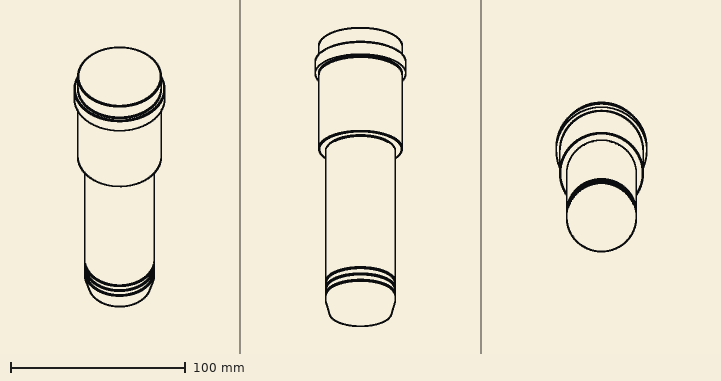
import math

import cadquery as cq

total_height = 170.0
head_radius = 24.0
collar_radius = 26.0
shaft_radius = 20.0

collar_top = total_height - 10.0
collar_bottom = total_height - 18.0
head_bottom = total_height - 66.0

taper_height = 8.0
taper_angle = 15.0
tip_radius = shaft_radius - taper_height * math.tan(math.radians(taper_angle))
tip_fillet = 0.5

head_top_chamfer = 0.5
head_bottom_chamfer = 0.5
collar_top_chamfer = 0.5

neck_depth = 0.75
neck_height = 1.0
shaft_top = head_bottom - neck_height

undercut_width = 1.0
undercut_depth = 0.25

groove_count = 3
groove_land = 3.0
groove_width = 1.0
groove_depth = 0.5
groove_pitch = groove_land + groove_width
lowest_groove_level = taper_height + groove_land + groove_width / 2


def cylinder(radius, bottom, top):
    return cq.Workplane("XY").workplane(offset=bottom).circle(radius).extrude(top - bottom)


def revolved(profile):
    """Turn a closed outline of (radius, height) points around the Z axis."""
    return cq.Workplane("XZ").polyline(profile).close().revolve(360, (0, 0), (0, 1))


def v_groove(surface_radius, middle, width, depth):
    """Cutting ring whose V section opens at the given cylinder radius."""
    return revolved(
        [
            (surface_radius, middle - width / 2),
            (surface_radius, middle + width / 2),
            (surface_radius - depth, middle),
        ]
    )


def make_tip():
    tip = revolved([(0, 0), (tip_radius, 0), (shaft_radius, taper_height), (0, taper_height)])
    return tip.faces("<Z").edges().fillet(tip_fillet)


def make_shaft():
    shaft = cylinder(shaft_radius, taper_height, shaft_top)
    for index in range(groove_count):
        middle = lowest_groove_level + index * groove_pitch
        shaft = shaft.cut(v_groove(shaft_radius, middle, groove_width, groove_depth))
    return shaft


def make_neck():
    return cylinder(shaft_radius - neck_depth, shaft_top, head_bottom)


def make_head():
    head = cylinder(head_radius, head_bottom, total_height)
    head = head.faces(">Z").edges().chamfer(head_top_chamfer)
    head = head.faces("<Z").edges().chamfer(head_bottom_chamfer)
    for middle in (collar_top + undercut_width / 2, collar_bottom - undercut_width / 2):
        head = head.cut(v_groove(head_radius, middle, undercut_width, undercut_depth))
    return head


def make_collar():
    collar = cylinder(collar_radius, collar_bottom, collar_top)
    return collar.faces(">Z").edges().chamfer(collar_top_chamfer)


result = make_tip().union(make_shaft()).union(make_neck()).union(make_head()).union(make_collar())